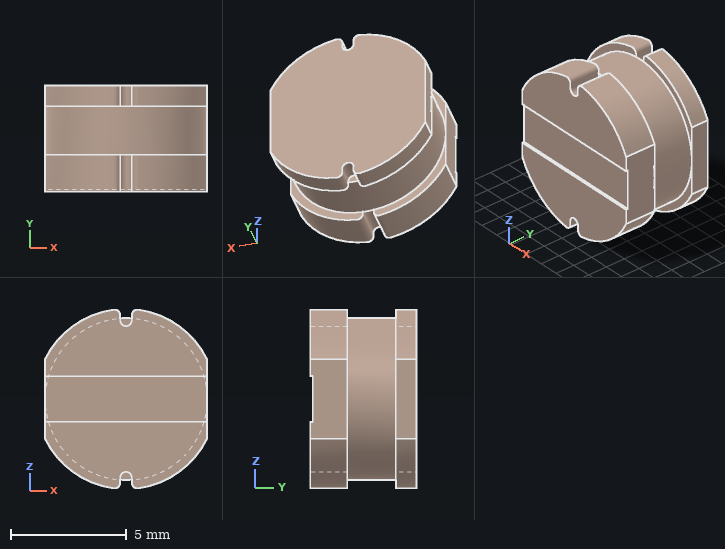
import cadquery as cq
import math

width = 7.0
length = 4.6
height = 7.73

core_radius = width / 2
front_flange_thickness = 1.6
back_flange_thickness = 0.905

notch_width = 0.5
notch_radius = notch_width / 2
notch_bottom_center = 3.4
notch_lip_radius = 0.25

lip_center_x = notch_radius + notch_lip_radius
lip_center_z = height / 2 - notch_lip_radius
flange_radius = notch_lip_radius + math.hypot(lip_center_x, lip_center_z)

channel_height = 1.97
channel_depth = 0.1

front_face = -length / 2
back_face = length / 2


def disc(radius, start_y, thickness):
    """Solid disc around the Y axis, growing toward +Y from start_y."""
    return (
        cq.Workplane("XZ", origin=(0, start_y, 0))
        .circle(radius)
        .extrude(-thickness)
    )


def notch(side, start_y, thickness):
    """Cutter for one notch; side is +1 for the top and -1 for the bottom."""
    opening_z = side * flange_radius
    center_z = side * notch_bottom_center
    bottom_z = center_z - side * notch_radius
    return (
        cq.Workplane("XZ", origin=(0, start_y, 0))
        .moveTo(-notch_radius, opening_z)
        .lineTo(-notch_radius, center_z)
        .threePointArc((0, bottom_z), (notch_radius, center_z))
        .lineTo(notch_radius, opening_z)
        .close()
        .extrude(-thickness)
    )


def at_notch_mouth(edge):
    """True for the sharp edges where a notch meets the flange rim."""
    center = edge.Center()
    return abs(center.x) < lip_center_x and abs(center.z) > lip_center_z


def flange(start_y, thickness):
    """Disc with two side flats and two notches with rounded lips."""
    flats = cq.Workplane("XY").box(width, 2 * length, 2 * flange_radius)
    body = disc(flange_radius, start_y, thickness).intersect(flats)
    for side in (1, -1):
        body = body.cut(notch(side, start_y, thickness))
    return body.edges("|Y").filter(at_notch_mouth).fillet(notch_lip_radius)


front_flange = flange(front_face, front_flange_thickness)
back_flange = flange(back_face - back_flange_thickness, back_flange_thickness)

core_length = length - front_flange_thickness - back_flange_thickness
core = disc(core_radius, front_face + front_flange_thickness, core_length)

channel = cq.Workplane("XY", origin=(0, front_face, 0)).box(
    width, 2 * channel_depth, channel_height
)

result = front_flange.union(core).union(back_flange).cut(channel)